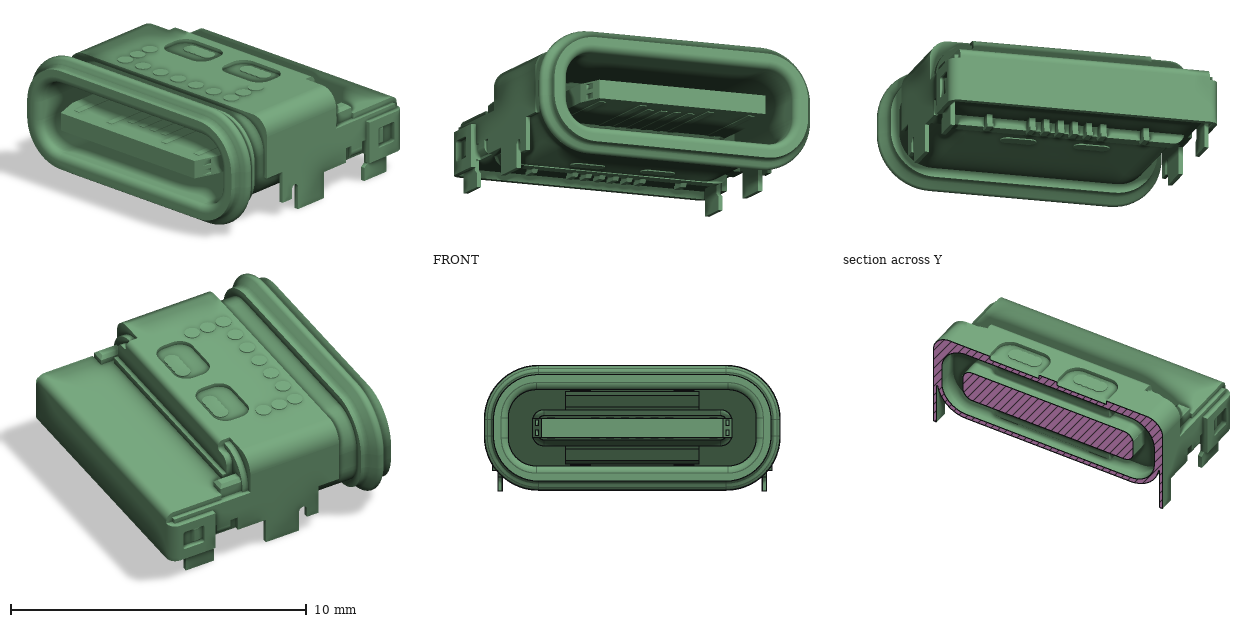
import cadquery as cq
import math


DIAGONAL = math.sqrt(0.5)

SHELL_HALF_X = 4.39
SHELL_HALF_Z = 1.49
SHELL_CORNER = 1.15
SHELL_END_Y = 5.6
CAVITY_INSET = 0.2
CAVITY_DEPTH = 4.995
MOUTH_FLARE = 0.24

RING_CORE_X = 3.17
RING_CORE_Z = 0.28
RING_BASE_RADIUS = 1.52
RING_CREST_HEIGHT = 0.31
RING_PATH_RADIUS = 1.2
RING_SINK = 0.15
RING_CREST_Y = 0.57
RING_LENGTH = 1.17
RING_FRONT_BAND = 0.2
RING_REAR_BAND = 0.13
RING_FRONT_FILLET = (0.27, 0.02)
RING_FRONT_FLANK_FOOT = (0.33, 0.07)
RING_FRONT_FLANK_TOP = (0.41, 0.21)
RING_FRONT_CREST = (0.47, 0.28)
RING_REAR_CREST = (0.64, 0.3)
RING_REAR_FLANK_TOP = (0.71, 0.25)
RING_REAR_FLANK_FOOT = (0.9, 0.06)
RING_REAR_FILLET = (0.96, 0.02)

TONGUE_TIP_Y = -0.08
TONGUE_HALF_X = 3.37
TONGUE_TIP_HALF_X = 3.07
TONGUE_HALF_Z = 0.32
TONGUE_TAPER_LENGTH = 0.9
COLLAR_HALF_Z = 0.61
COLLAR_CORNER = 0.38
COLLAR_CHAMFER = 0.2
COLLAR_START_Y = 3.8
GROUND_HALF_X = 2.26
GROUND_HALF_Z = 1.22
GROUND_CHAMFER = 0.12
GROUND_INNER_Z = 0.71
GROUND_START_Y = 4.5
SPRING_X = 1.75
SPRING_WIDTH = 0.68
SPRING_HEIGHT = 0.04
LATCH_NOTCH_Y = 0.15
LATCH_NOTCH_LENGTH = 0.45
LATCH_NOTCH_INNER_Z = 0.07
LATCH_NOTCH_HEIGHT = 0.19
LATCH_NOTCH_DEPTH = 0.05

CONTACT_PITCH = 0.5
CONTACT_PLACES = 12
CONTACT_WIDTH = 0.24
CONTACT_HEIGHT = 0.02
LONG_CONTACTS = (0, 3, 8, 11)
SHORT_CONTACTS = (4, 5, 6, 7)
LONG_CONTACT_Y = 0.36
SHORT_CONTACT_Y = 0.87
TAIL_WIDTH = 0.2
TAIL_FRONT_Y = 6.11
TAIL_REAR_Y = 6.49
TAIL_TOE_Y = 5.95
TAIL_TOE_SLOPE = 0.1
TAIL_HEEL_Y = 6.56
TAIL_FOOT_TOP_Z = -1.52
TAIL_FOOT_BOTTOM_Z = -1.64

COVER_HALF_X = 4.54
COVER_TOP_Z = 1.64
COVER_CORNER = 0.65
COVER_START_Y = 1.94
COVER_END_Y = 5.38
COVER_FRONT_BOTTOM_Z = -0.53
PLATE_THICKNESS = COVER_HALF_X - SHELL_HALF_X
PLATE_BOTTOM_Z = -1.18
PLATE_STEP_Z = 0.22
PLATE_END_Y = 8.34

LEG_BOTTOM_Z = -2.14
NOTCH_FRONT_Y = 5.87
NOTCH_TOP_Z = -0.65
TAB_FRONT_Y = 6.15
TAB_REAR_Y = 6.68
TAB_BEND_Z = -0.84
TAB_BOTTOM_Z = -1.1
LEG_FRONT_Y = 3.49
LEG_REAR_Y = 4.79
LEG_SLOT_RADIUS = 0.15
FRONT_LEG_Y = 2.73
FRONT_LEG_BOTTOM_Z = -1.67

WELD_DIAMETER = 0.53
WELD_HEIGHT = 0.04
WELD_PITCH_X = 0.81
WELD_PITCH_Y = 0.61
WELD_ROW_Y = 2.45
RECESS_X = 1.33
RECESS_WIDTH = 2.03
RECESS_FRONT_Y = 3.98
RECESS_REAR_Y = 5.31
RECESS_CORNER = 0.5
SEAM_X = 1.29
SEAM_Y = 4.9
SEAM_PITCH = 0.24
SEAM_SPOTS = 4

FLAP_TOP_HALF_X = 3.13
FLAP_HALF_X = 3.69
FLAP_REAR_Y = 5.83
FLAP_BEND = 0.2
FLAP_SHOULDER_Z = 1.28
FLAP_SHOULDER_RADIUS = 0.3
FLAP_RELIEF = 0.12
LEDGE_REAR_Y = 5.98
LEDGE_TOP_Z = 0.65

BODY_TOP_Z = 0.42
BODY_REAR_Y = 8.57
LID_BEND = 0.28
UNDERSIDE_HALF_X = 4.2
UNDERSIDE_Z = -1.52
UNDERSIDE_CORNER = 0.4
LUG_INNER_X = 3.82
LUG_OUTER_X = 4.3
LUG_REAR_Y = 6.41
LUG_TOP_Z = 0.72
LUG_CHAMFER = 0.11
WING_HALF_X = 4.73
WING_FRONT_Y = 6.85
WING_TOP_Z = 0.04
WING_BOTTOM_Z = -1.45
WING_BEND = 0.35
REAR_LEG_START_Y = 6.79
REAR_LEG_END_Y = 7.89
REAR_LEG_NECK_Y = 6.94
REAR_LEG_CORNER_Z = -1.66
REAR_LEG_NECK_Z = -1.55
WINDOW_FRONT_Y = 7.28
WINDOW_REAR_Y = 8.09
WINDOW_TOP_Z = -0.3
WINDOW_BOTTOM_Z = -1.03
WINDOW_CORNER = 0.08
BARB_REAR_Y = 7.72
BARB_BEND_Y = 7.49
BARB_CREST_Y = 7.62
BARB_TOP_Z = -0.42
BARB_BOTTOM_Z = -0.92
BARB_HEIGHT = 0.1


def box(x0, x1, y0, y1, z0, z1):
    """Axis-aligned block between opposite corners."""
    return cq.Workplane("XY").box(x1 - x0, y1 - y0, z1 - z0, centered=False).translate((x0, y0, z0))


def both_sides(left_or_right):
    """The given shape together with its mirror image across X = 0."""
    return left_or_right.union(left_or_right.mirror("YZ"))


def rounded_prism(half_x, half_z, corner, y0, y1):
    """Rounded rectangle centred on the mating axis, running along Y."""
    prism = cq.Workplane("XZ", origin=(0, y0, 0)).rect(2 * half_x, 2 * half_z).extrude(y0 - y1)
    return prism.edges("|Y").fillet(corner)


def make_shell():
    return rounded_prism(SHELL_HALF_X, SHELL_HALF_Z, SHELL_CORNER, 0, SHELL_END_Y)


def make_ring():
    """Sealing ring with a rounded crest, steep in front and sloping behind."""
    path_z = RING_CORE_Z + RING_PATH_RADIUS
    diagonal_x = RING_CORE_X + RING_PATH_RADIUS * DIAGONAL
    diagonal_z = RING_CORE_Z + RING_PATH_RADIUS * DIAGONAL
    half_x = RING_CORE_X + RING_PATH_RADIUS
    path = (
        cq.Workplane("XZ")
        .moveTo(0, path_z)
        .lineTo(RING_CORE_X, path_z)
        .threePointArc((diagonal_x, diagonal_z), (half_x, RING_CORE_Z))
        .lineTo(half_x, -RING_CORE_Z)
        .threePointArc((diagonal_x, -diagonal_z), (RING_CORE_X, -path_z))
        .lineTo(-RING_CORE_X, -path_z)
        .threePointArc((-diagonal_x, -diagonal_z), (-half_x, -RING_CORE_Z))
        .lineTo(-half_x, RING_CORE_Z)
        .threePointArc((-diagonal_x, diagonal_z), (-RING_CORE_X, path_z))
        .close()
    )
    base = RING_CORE_Z + RING_BASE_RADIUS
    root = path_z - RING_SINK

    def raised(point):
        return point[0], base + point[1]

    profile = (
        cq.Workplane("YZ")
        .moveTo(0, root)
        .lineTo(0, base)
        .lineTo(RING_FRONT_BAND, base)
        .threePointArc(raised(RING_FRONT_FILLET), raised(RING_FRONT_FLANK_FOOT))
        .lineTo(*raised(RING_FRONT_FLANK_TOP))
        .threePointArc(raised(RING_FRONT_CREST), (RING_CREST_Y, base + RING_CREST_HEIGHT))
        .threePointArc(raised(RING_REAR_CREST), raised(RING_REAR_FLANK_TOP))
        .lineTo(*raised(RING_REAR_FLANK_FOOT))
        .threePointArc(raised(RING_REAR_FILLET), (RING_LENGTH - RING_REAR_BAND, base))
        .lineTo(RING_LENGTH, base)
        .lineTo(RING_LENGTH, root)
        .close()
    )
    return profile.sweep(path)


def cut_cavity(part):
    """Socket opening, with a rounded lip at the mouth."""
    half_x = SHELL_HALF_X - CAVITY_INSET
    half_z = SHELL_HALF_Z - CAVITY_INSET
    corner = SHELL_CORNER - CAVITY_INSET
    part = part.cut(rounded_prism(half_x, half_z, corner, 0, CAVITY_DEPTH))
    lip = part.faces("<Y").val().innerWires()[0]
    return part.newObject(lip.Edges()).fillet(MOUTH_FLARE)


def make_tongue():
    """Contact tongue with a tapered tip, its collar and the grounding pads behind it."""
    taper_end = TONGUE_TIP_Y + TONGUE_TAPER_LENGTH
    tongue = (
        cq.Workplane("XY", origin=(0, 0, -TONGUE_HALF_Z))
        .moveTo(-TONGUE_TIP_HALF_X, TONGUE_TIP_Y)
        .lineTo(TONGUE_TIP_HALF_X, TONGUE_TIP_Y)
        .lineTo(TONGUE_HALF_X, taper_end)
        .lineTo(TONGUE_HALF_X, CAVITY_DEPTH)
        .lineTo(-TONGUE_HALF_X, CAVITY_DEPTH)
        .lineTo(-TONGUE_HALF_X, taper_end)
        .close()
        .extrude(2 * TONGUE_HALF_Z)
    )
    notch_y = LATCH_NOTCH_Y + LATCH_NOTCH_LENGTH / 2
    taper_share = (notch_y - TONGUE_TIP_Y) / TONGUE_TAPER_LENGTH
    notch_x = TONGUE_TIP_HALF_X + taper_share * (TONGUE_HALF_X - TONGUE_TIP_HALF_X)
    notch_z = LATCH_NOTCH_INNER_Z + LATCH_NOTCH_HEIGHT / 2
    notch = cq.Workplane("XY").box(2 * LATCH_NOTCH_DEPTH, LATCH_NOTCH_LENGTH, LATCH_NOTCH_HEIGHT)
    for x in (-notch_x, notch_x):
        for z in (-notch_z, notch_z):
            tongue = tongue.cut(notch.translate((x, notch_y, z)))
    collar = rounded_prism(TONGUE_HALF_X, COLLAR_HALF_Z, COLLAR_CORNER, COLLAR_START_Y, CAVITY_DEPTH)
    collar = collar.faces("<Y").chamfer(COLLAR_CHAMFER)
    ground = box(-GROUND_HALF_X, GROUND_HALF_X, GROUND_START_Y, CAVITY_DEPTH, -GROUND_HALF_Z, GROUND_HALF_Z)
    ground = ground.faces("<Y").edges("|X").chamfer(GROUND_CHAMFER)
    groove_end_y = GROUND_START_Y + GROUND_CHAMFER
    ground = ground.cut(
        box(-GROUND_HALF_X, GROUND_HALF_X, GROUND_START_Y, groove_end_y, -GROUND_INNER_Z, GROUND_INNER_Z)
    )
    spring_z = GROUND_HALF_Z + SPRING_HEIGHT
    spring = box(
        SPRING_X - SPRING_WIDTH / 2, SPRING_X + SPRING_WIDTH / 2,
        groove_end_y, CAVITY_DEPTH, -spring_z, spring_z,
    )
    return tongue.union(collar).union(ground).union(both_sides(spring))


def contact_x(index):
    return (index - (CONTACT_PLACES - 1) / 2) * CONTACT_PITCH


def make_contacts():
    """Raised strips on both faces of the tongue; power and ground reach further forward."""
    contacts = cq.Workplane("XY")
    half_z = TONGUE_HALF_Z + CONTACT_HEIGHT
    for index in LONG_CONTACTS + SHORT_CONTACTS:
        start_y = LONG_CONTACT_Y if index in LONG_CONTACTS else SHORT_CONTACT_Y
        left = contact_x(index) - CONTACT_WIDTH / 2
        strip = box(left, left + CONTACT_WIDTH, start_y, COLLAR_START_Y + COLLAR_CHAMFER, -half_z, half_z)
        contacts = contacts.union(strip)
    return contacts


def make_tails():
    """Solder tails: posts below the body, each ending in a foot with a sloped toe."""
    tails = cq.Workplane("XY")
    for index in LONG_CONTACTS + SHORT_CONTACTS:
        left = contact_x(index) - TAIL_WIDTH / 2
        tail = (
            cq.Workplane("YZ", origin=(left, 0, 0))
            .moveTo(TAIL_FRONT_Y, PLATE_BOTTOM_Z)
            .lineTo(TAIL_FRONT_Y, TAIL_FOOT_TOP_Z)
            .lineTo(TAIL_TOE_Y, TAIL_FOOT_TOP_Z)
            .lineTo(TAIL_TOE_Y + TAIL_TOE_SLOPE, TAIL_FOOT_BOTTOM_Z)
            .lineTo(TAIL_HEEL_Y, TAIL_FOOT_BOTTOM_Z)
            .lineTo(TAIL_HEEL_Y, TAIL_FOOT_TOP_Z)
            .lineTo(TAIL_REAR_Y, TAIL_FOOT_TOP_Z)
            .lineTo(TAIL_REAR_Y, PLATE_BOTTOM_Z)
            .close()
            .extrude(TAIL_WIDTH)
        )
        tails = tails.union(tail)
    return tails


def make_cover():
    """Cover over the shell, with its two long top edges rounded."""
    cover = box(-COVER_HALF_X, COVER_HALF_X, COVER_START_Y, COVER_END_Y, COVER_FRONT_BOTTOM_Z, COVER_TOP_Z)
    return cover.edges("|Y and >Z").fillet(COVER_CORNER)


def make_side_plate():
    """Side plate on +X with the main leg, the short front leg, a notch and its bent tab."""
    slot_y = LEG_FRONT_Y - LEG_SLOT_RADIUS
    slot_front_y = slot_y - LEG_SLOT_RADIUS
    slot_base_z = PLATE_BOTTOM_Z - LEG_SLOT_RADIUS
    plate = (
        cq.Workplane("YZ", origin=(SHELL_HALF_X, 0, 0))
        .moveTo(COVER_START_Y, COVER_FRONT_BOTTOM_Z)
        .lineTo(FRONT_LEG_Y, COVER_FRONT_BOTTOM_Z)
        .lineTo(FRONT_LEG_Y, FRONT_LEG_BOTTOM_Z)
        .lineTo(slot_front_y, FRONT_LEG_BOTTOM_Z)
        .lineTo(slot_front_y, slot_base_z)
        .threePointArc((slot_y, PLATE_BOTTOM_Z), (LEG_FRONT_Y, slot_base_z))
        .lineTo(LEG_FRONT_Y, LEG_BOTTOM_Z)
        .lineTo(LEG_REAR_Y, LEG_BOTTOM_Z)
        .lineTo(LEG_REAR_Y, PLATE_BOTTOM_Z)
        .lineTo(NOTCH_FRONT_Y, PLATE_BOTTOM_Z)
        .lineTo(NOTCH_FRONT_Y, NOTCH_TOP_Z)
        .lineTo(TAB_FRONT_Y, NOTCH_TOP_Z)
        .lineTo(TAB_FRONT_Y, TAB_BEND_Z)
        .lineTo(TAB_REAR_Y, TAB_BEND_Z)
        .lineTo(TAB_REAR_Y, NOTCH_TOP_Z)
        .lineTo(WING_FRONT_Y, NOTCH_TOP_Z)
        .lineTo(WING_FRONT_Y, PLATE_BOTTOM_Z)
        .lineTo(PLATE_END_Y, PLATE_BOTTOM_Z)
        .lineTo(PLATE_END_Y, PLATE_STEP_Z)
        .lineTo(COVER_START_Y, PLATE_STEP_Z)
        .close()
        .extrude(PLATE_THICKNESS)
    )
    tab_middle = (
        SHELL_HALF_X + DIAGONAL * PLATE_THICKNESS,
        TAB_BEND_Z + DIAGONAL * (TAB_BOTTOM_Z - TAB_BEND_Z),
    )
    tab = (
        cq.Workplane("XZ", origin=(0, TAB_FRONT_Y, 0))
        .moveTo(SHELL_HALF_X, TAB_BEND_Z)
        .lineTo(COVER_HALF_X, TAB_BEND_Z)
        .threePointArc(tab_middle, (SHELL_HALF_X, TAB_BOTTOM_Z))
        .close()
        .extrude(TAB_FRONT_Y - TAB_REAR_Y)
    )
    return plate.union(tab)


def add_weld_spots(part, points, low_z, high_z):
    for x, y in points:
        spot = cq.Workplane("XY", origin=(x, y, low_z)).circle(WELD_DIAMETER / 2)
        part = part.union(spot.extrude(high_z - low_z))
    return part


def add_cover_marks(part):
    """U-shaped weld row, two recesses with weld seams, and matching seams under the shell."""
    row = [(column * WELD_PITCH_X, WELD_ROW_Y) for column in range(-3, 4)]
    columns = [
        (column * WELD_PITCH_X, WELD_ROW_Y + step * WELD_PITCH_Y)
        for column in (-3, 3)
        for step in (1, 2)
    ]
    part = add_weld_spots(part, row + columns, SHELL_HALF_Z, COVER_TOP_Z + WELD_HEIGHT)
    half_width = RECESS_WIDTH / 2
    recess = box(-half_width, half_width, RECESS_FRONT_Y, RECESS_REAR_Y, SHELL_HALF_Z, COVER_TOP_Z)
    recess = recess.edges("|Z").fillet(RECESS_CORNER)
    shell_inside_z = SHELL_HALF_Z - CAVITY_INSET
    weld_z = SHELL_HALF_Z + WELD_HEIGHT
    for side in (-1, 1):
        part = part.cut(recess.translate((side * RECESS_X, 0, 0)))
        first = side * SEAM_X - (SEAM_SPOTS - 1) / 2 * SEAM_PITCH
        seam = [(first + spot * SEAM_PITCH, SEAM_Y) for spot in range(SEAM_SPOTS)]
        part = add_weld_spots(part, seam, shell_inside_z, weld_z)
        part = add_weld_spots(part, seam, -weld_z, -shell_inside_z)
    return part


def make_flap():
    """Top of the cover bent down behind the shell, wider below its shoulders and ending in a ledge."""
    shoulder_x = FLAP_HALF_X - FLAP_SHOULDER_RADIUS
    shoulder_side_z = FLAP_SHOULDER_Z - FLAP_SHOULDER_RADIUS
    half = (
        cq.Workplane("XZ", origin=(0, COVER_END_Y, 0))
        .moveTo(0, COVER_TOP_Z)
        .lineTo(FLAP_TOP_HALF_X, COVER_TOP_Z)
        .lineTo(FLAP_TOP_HALF_X, FLAP_SHOULDER_Z + FLAP_RELIEF)
        .radiusArc((FLAP_TOP_HALF_X + FLAP_RELIEF, FLAP_SHOULDER_Z), -FLAP_RELIEF)
        .lineTo(shoulder_x, FLAP_SHOULDER_Z)
        .radiusArc((FLAP_HALF_X, shoulder_side_z), FLAP_SHOULDER_RADIUS)
        .lineTo(FLAP_HALF_X, 0)
        .lineTo(0, 0)
        .close()
        .extrude(COVER_END_Y - FLAP_REAR_Y)
    )
    flap = both_sides(half).edges("|X and >Y and >Z").fillet(FLAP_BEND)
    ledge = box(-FLAP_HALF_X, FLAP_HALF_X, COVER_END_Y, LEDGE_REAR_Y, 0, LEDGE_TOP_Z)
    return flap.union(ledge)


def make_rear_body():
    """Insulator block with its lid and the lugs behind the shell."""
    body = box(-SHELL_HALF_X, SHELL_HALF_X, CAVITY_DEPTH, BODY_REAR_Y, PLATE_BOTTOM_Z, BODY_TOP_Z)
    body = body.edges("|X and >Y and >Z").fillet(LID_BEND)
    lid_corner = box(LUG_OUTER_X, SHELL_HALF_X, CAVITY_DEPTH, LUG_REAR_Y, PLATE_STEP_Z, BODY_TOP_Z)
    body = body.cut(both_sides(lid_corner))
    lug = box(LUG_INNER_X, LUG_OUTER_X, COVER_END_Y, LUG_REAR_Y, 0, LUG_TOP_Z)
    lug = lug.faces(">Z").edges(">Y or >X or <X").chamfer(LUG_CHAMFER)
    underside = box(-UNDERSIDE_HALF_X, UNDERSIDE_HALF_X, SHELL_END_Y, TAIL_FRONT_Y, UNDERSIDE_Z, 0)
    underside = underside.edges("|Y and <Z").fillet(UNDERSIDE_CORNER)
    return body.union(both_sides(lug)).union(underside)


def make_wings():
    """Back wall folded forward into two side wings, with latch windows and legs."""
    wall = box(-WING_HALF_X, WING_HALF_X, WING_FRONT_Y, BODY_REAR_Y, WING_BOTTOM_Z, WING_TOP_Z)
    wall = wall.edges("|Z and >Y").fillet(WING_BEND)
    wall = wall.cut(box(-COVER_HALF_X, COVER_HALF_X, WING_FRONT_Y, PLATE_END_Y, WING_BOTTOM_Z, WING_TOP_Z))
    window = box(COVER_HALF_X, WING_HALF_X, WINDOW_FRONT_Y, WINDOW_REAR_Y, WINDOW_BOTTOM_Z, WINDOW_TOP_Z)
    wall = wall.cut(both_sides(window.edges("|X").fillet(WINDOW_CORNER)))
    barb = (
        cq.Workplane("XY", origin=(0, 0, BARB_BOTTOM_Z))
        .moveTo(COVER_HALF_X, WINDOW_FRONT_Y)
        .lineTo(COVER_HALF_X + BARB_HEIGHT / 2, WINDOW_FRONT_Y)
        .lineTo(COVER_HALF_X + BARB_HEIGHT, BARB_BEND_Y)
        .lineTo(COVER_HALF_X + BARB_HEIGHT, BARB_CREST_Y)
        .lineTo(COVER_HALF_X, BARB_REAR_Y)
        .close()
        .extrude(BARB_TOP_Z - BARB_BOTTOM_Z)
    )
    leg = (
        cq.Workplane("YZ", origin=(SHELL_HALF_X, 0, 0))
        .moveTo(REAR_LEG_END_Y, LEG_BOTTOM_Z)
        .lineTo(REAR_LEG_START_Y, LEG_BOTTOM_Z)
        .lineTo(REAR_LEG_START_Y, REAR_LEG_CORNER_Z)
        .lineTo(REAR_LEG_NECK_Y, REAR_LEG_NECK_Z)
        .lineTo(REAR_LEG_NECK_Y, PLATE_BOTTOM_Z)
        .lineTo(REAR_LEG_END_Y, PLATE_BOTTOM_Z)
        .close()
        .extrude(PLATE_THICKNESS)
    )
    return wall.union(both_sides(barb)).union(both_sides(leg))


result = make_shell().union(make_ring()).union(make_cover()).union(make_rear_body()).union(make_flap())
result = cut_cavity(result)
result = result.union(make_tongue()).union(make_contacts()).union(make_tails())
result = result.union(both_sides(make_side_plate())).union(make_wings())
result = add_cover_marks(result)